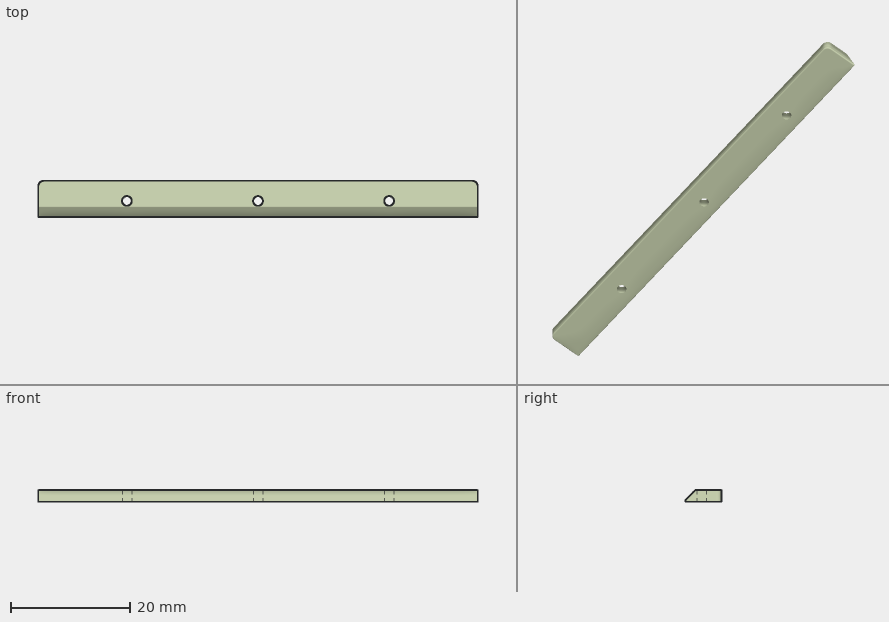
import cadquery as cq
import math

LENGTH = 73.8
SHARP_WIDTH = 6.4
HEIGHT = 2.0
BEVEL_ANGLE = 45.0
BEVEL_RUN = HEIGHT / math.tan(math.radians(BEVEL_ANGLE))

CORNER_RADIUS = 1.0
EDGE_RADIUS = 0.2

HOLE_DIAMETER = 1.6
HOLE_SPACING = 22.0
HOLE_COUNT = 3
HOLE_FROM_REAR = 3.4


def make_strip():
    """Strip centred on X, base at Z = 0, rear face at Y = 0, knife edge toward -Y."""
    profile = [
        (0, 0),
        (0, HEIGHT),
        (BEVEL_RUN - SHARP_WIDTH, HEIGHT),
        (-SHARP_WIDTH, 0),
    ]
    return cq.Workplane("YZ").polyline(profile).close().extrude(LENGTH / 2, both=True)


def round_rear_corners(strip):
    return strip.edges("|Z").fillet(CORNER_RADIUS)


def round_outer_edges(strip):
    """Soften every edge except the upright seams where the rear corners run out."""
    return strip.edges("not |Z").fillet(EDGE_RADIUS)


def drill_holes(strip):
    first_x = -HOLE_SPACING * (HOLE_COUNT - 1) / 2
    centres = [(first_x + i * HOLE_SPACING, -HOLE_FROM_REAR) for i in range(HOLE_COUNT)]
    drills = cq.Workplane("XY").pushPoints(centres).circle(HOLE_DIAMETER / 2).extrude(HEIGHT)
    return strip.cut(drills)


strip = round_rear_corners(make_strip())
strip = round_outer_edges(strip)
result = drill_holes(strip)